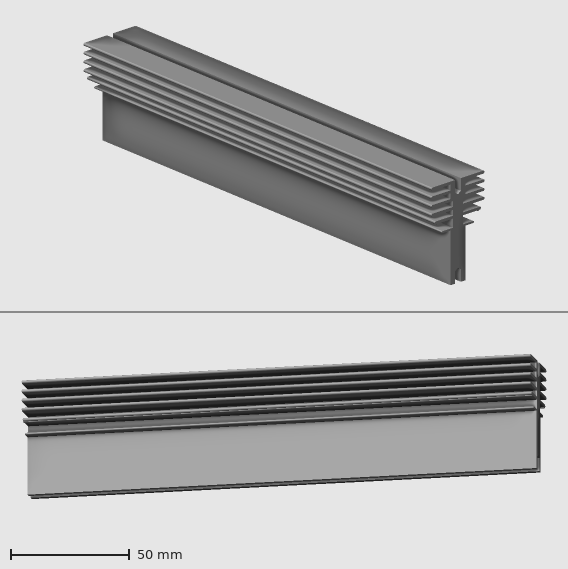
import cadquery as cq

length = 220.0
total_width = 30.0
height = 47.0
half_width = total_width / 2

wall_outer = 4.2
neck_outer = 2.9
neck_top = 38.0

groove_half_width = 1.65
groove_straight_depth = 5.7
groove_total_depth = 6.8

fin_thickness = 1.3
fin_tip_bulge = 0.5
fin_pitch = 4.0
long_fin_count = 4
middle_fin_reach = 13.0
lowest_fin_reach = 9.0
lowest_fin_thickness = 0.9
lowest_fin_top = 25.7
lowest_tip_bulge = 0.33
neck_bottom = lowest_fin_top

bead_radius = 0.5
bead_reach = 11.5


def extrude_along_length(profile):
    """Extrude a YZ profile over the full length, centred on X = 0."""
    return profile.extrude(length / 2, both=True)


def make_wall():
    """Wall with a narrower neck and a sloped groove floor at each end."""
    profile = (
        cq.Workplane("YZ")
        .moveTo(groove_half_width, 0)
        .lineTo(wall_outer, 0)
        .lineTo(wall_outer, neck_bottom)
        .lineTo(neck_outer, neck_bottom)
        .lineTo(neck_outer, neck_top)
        .lineTo(wall_outer, neck_top)
        .lineTo(wall_outer, height)
        .lineTo(groove_half_width, height)
        .lineTo(groove_half_width, height - groove_straight_depth)
        .lineTo(0, height - groove_total_depth)
        .lineTo(0, groove_total_depth)
        .lineTo(groove_half_width, groove_straight_depth)
        .close()
    )
    return extrude_along_length(profile)


def make_fin(reach, top, thickness, bulge):
    """Fin rooted inside the wall, with a shallow convex tip."""
    root = (groove_half_width + neck_outer) / 2
    profile = (
        cq.Workplane("YZ")
        .moveTo(root, top)
        .lineTo(reach - bulge, top)
        .threePointArc((reach, top - thickness / 2), (reach - bulge, top - thickness))
        .lineTo(root, top - thickness)
        .close()
    )
    return extrude_along_length(profile)


def make_bead(fin_bottom):
    """Half-round bead whose centre lies on the underside of the middle fin."""
    profile = cq.Workplane("YZ").center(bead_reach, fin_bottom).circle(bead_radius)
    return extrude_along_length(profile)


def make_extrusion():
    """One complete half, on the +Y side of the mating plane."""
    extrusion = make_wall()
    for index in range(long_fin_count):
        fin_top = height - index * fin_pitch
        extrusion = extrusion.union(make_fin(half_width, fin_top, fin_thickness, fin_tip_bulge))
    middle_fin_top = height - long_fin_count * fin_pitch
    extrusion = extrusion.union(make_fin(middle_fin_reach, middle_fin_top, fin_thickness, fin_tip_bulge))
    extrusion = extrusion.union(make_bead(middle_fin_top - fin_thickness))
    return extrusion.union(make_fin(lowest_fin_reach, lowest_fin_top, lowest_fin_thickness, lowest_tip_bulge))


extrusions = []
for turn in (0, 180):
    extrusions.append(make_extrusion().rotate((0, 0, 0), (0, 0, 1), turn).val())

result = cq.Compound.makeCompound(extrusions)